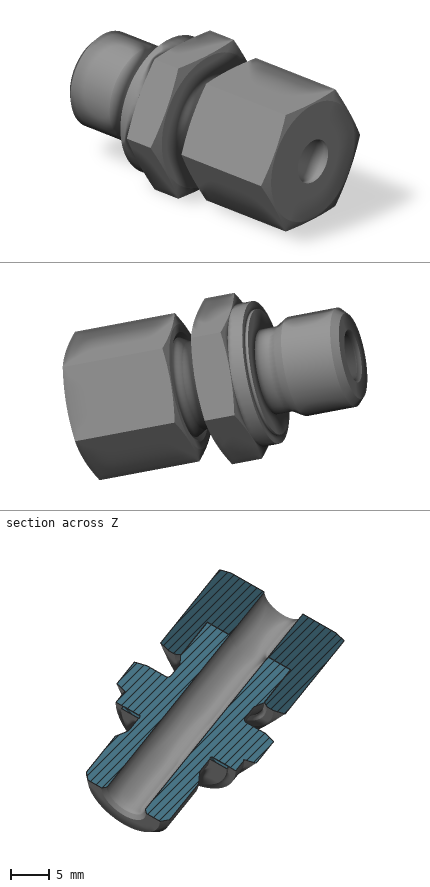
import cadquery as cq
import math


stud_length = 12.0
flange_thickness = 2.0
hex_thickness = 5.0
union_end_length = 10.0
nut_start = 22.45
nut_end = 37.0

flange_end = stud_length + flange_thickness
hex_end = flange_end + hex_thickness
fitting_end = hex_end + union_end_length

stud_diameter = 13.16
stud_end_chamfer = 0.9
undercut_start = 7.65
undercut_diameter = 11.25
undercut_blend_radius = 1.3
undercut_angle = math.radians(30)

flange_diameter = 18.9
hex_across_flats = 19.0
nut_across_flats = 17.0
hex_chamfer_angle = math.radians(15)
hex_chamfer_inset = 0.45
bore_diameter = 6.0
bore_chamfer = 0.5

neck_diameter = 11.7
neck_fillet = 0.5
neck_end = 21.5
neck_cone_angle = math.radians(30)
spigot_diameter = 13.2
spigot_radius = spigot_diameter / 2
spigot_start = neck_end + (spigot_radius - neck_diameter / 2) / math.tan(neck_cone_angle)
nut_mouth_diameter = 14.5
nut_mouth_angle = math.radians(30)

seal_diameter = 16.65
seal_thickness = 0.4


def cylinder(start, end, radius):
    return cq.Workplane("YZ", origin=(start, 0, 0)).circle(radius).extrude(end - start)


def chamfered_hexagon(start, end, across_flats):
    """Hexagon bar with corners on +Y and -Y, both ends turned to a shallow cone."""
    corner_radius = across_flats / 2 / math.cos(math.pi / 6)
    face_radius = (across_flats - hex_chamfer_inset) / 2
    chamfer_depth = (corner_radius - face_radius) * math.tan(hex_chamfer_angle)
    bar = cq.Workplane("YZ", origin=(start, 0, 0)).polygon(6, 2 * corner_radius).extrude(end - start)
    turned_envelope = (
        cq.Workplane("XY")
        .moveTo(start, 0)
        .lineTo(start, face_radius)
        .lineTo(start + chamfer_depth, corner_radius)
        .lineTo(end - chamfer_depth, corner_radius)
        .lineTo(end, face_radius)
        .lineTo(end, 0)
        .close()
        .revolve(360, (0, 0, 0), (1, 0, 0))
    )
    return bar.intersect(turned_envelope)


def turned_fitting_profile():
    """Half section of the fitting without its hexagon and bore."""
    stud_radius = stud_diameter / 2
    undercut_radius = undercut_diameter / 2
    blend_rise = undercut_blend_radius * (1 - math.cos(undercut_angle))
    blend_length = undercut_blend_radius * math.sin(undercut_angle)
    cone_drop = stud_radius - undercut_radius - blend_rise
    blend_start = undercut_start + cone_drop / math.tan(undercut_angle)
    blend_end = blend_start + blend_length
    blend_middle = (
        blend_end - undercut_blend_radius * math.sin(undercut_angle / 2),
        undercut_radius + undercut_blend_radius * (1 - math.cos(undercut_angle / 2)),
    )
    neck_radius = neck_diameter / 2
    fillet_middle_offset = neck_fillet * (1 - math.sqrt(0.5))
    return (
        cq.Workplane("XY")
        .moveTo(0, 0)
        .lineTo(0, stud_radius - stud_end_chamfer)
        .lineTo(stud_end_chamfer, stud_radius)
        .lineTo(undercut_start, stud_radius)
        .lineTo(blend_start, undercut_radius + blend_rise)
        .threePointArc(blend_middle, (blend_end, undercut_radius))
        .lineTo(stud_length, undercut_radius)
        .lineTo(stud_length, flange_diameter / 2)
        .lineTo(flange_end, flange_diameter / 2)
        .lineTo(flange_end, neck_radius + neck_fillet)
        .lineTo(hex_end, neck_radius + neck_fillet)
        .threePointArc(
            (hex_end + fillet_middle_offset, neck_radius + fillet_middle_offset),
            (hex_end + neck_fillet, neck_radius),
        )
        .lineTo(neck_end, neck_radius)
        .lineTo(spigot_start, spigot_radius)
        .lineTo(fitting_end, spigot_radius)
        .lineTo(fitting_end, 0)
        .close()
    )


def make_fitting():
    turned = turned_fitting_profile().revolve(360, (0, 0, 0), (1, 0, 0))
    body = turned.union(chamfered_hexagon(flange_end, hex_end, hex_across_flats))
    body = body.cut(cylinder(0, fitting_end, bore_diameter / 2))
    bore_mouth = body.faces("<X").edges(cq.selectors.RadiusNthSelector(0))
    return bore_mouth.chamfer(bore_chamfer)


def make_seal_ring():
    ring = cylinder(stud_length - seal_thickness, stud_length, seal_diameter / 2)
    return ring.cut(cylinder(stud_length - seal_thickness, stud_length, undercut_diameter / 2))


def nut_mouth_countersink():
    """Flat cone that opens the mouth of the nut around the spigot."""
    mouth_radius = nut_mouth_diameter / 2
    return (
        cq.Workplane("XY")
        .moveTo(nut_start, 0)
        .lineTo(nut_start, mouth_radius)
        .lineTo(nut_start + mouth_radius * math.tan(nut_mouth_angle), 0)
        .close()
        .revolve(360, (0, 0, 0), (1, 0, 0))
    )


def make_union_nut():
    nut = chamfered_hexagon(nut_start, nut_end, nut_across_flats)
    nut = nut.cut(nut_mouth_countersink())
    nut = nut.cut(cylinder(nut_start, fitting_end, spigot_radius))
    return nut.cut(cylinder(fitting_end, nut_end, bore_diameter / 2))


fitting = make_fitting()
seal_ring = make_seal_ring()
union_nut = make_union_nut()

result = cq.Compound.makeCompound([fitting.val(), seal_ring.val(), union_nut.val()])